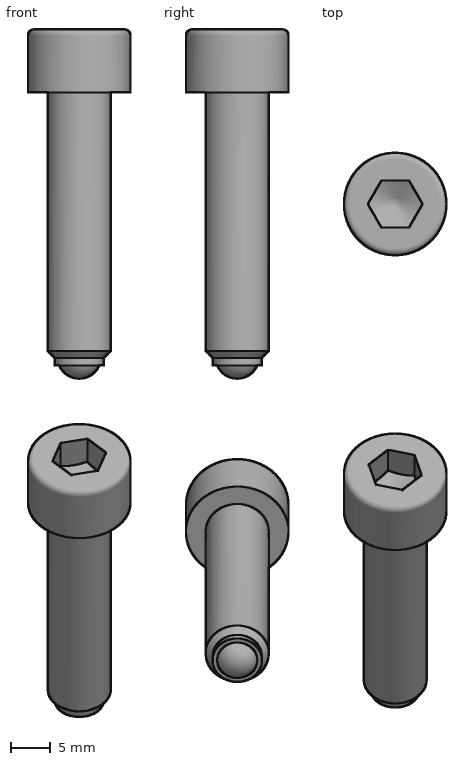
import cadquery as cq
import math


head_diameter = 13.0
head_height = 8.0
head_edge_radius = 0.8

socket_sides = 6
socket_across_flats = 6.0
socket_across_corners = socket_across_flats / math.cos(math.pi / socket_sides)
socket_wall_depth = 4.0
socket_cone_angle = 120.0

shank_diameter = 8.0
collar_diameter = 6.25
collar_height = 0.95
chamfer_height = (shank_diameter - collar_diameter) / 2
length_to_collar_end = 34.5

ball_diameter = 5.5
ball_protrusion = 1.7
ball_center_z = -length_to_collar_end - ball_protrusion + ball_diameter / 2


def make_ball():
    return cq.Workplane("XY").sphere(ball_diameter / 2).translate((0, 0, ball_center_z))


def make_head():
    head = cq.Workplane("XY").circle(head_diameter / 2).extrude(head_height)
    return head.faces(">Z").edges().fillet(head_edge_radius)


def make_shank():
    """Cylinder with a 45 degree chamfer leading to the collar."""
    collar_top = -length_to_collar_end + collar_height
    chamfer_top = collar_top + chamfer_height
    return (
        cq.Workplane("XZ")
        .lineTo(shank_diameter / 2, 0)
        .lineTo(shank_diameter / 2, chamfer_top)
        .lineTo(collar_diameter / 2, collar_top)
        .lineTo(collar_diameter / 2, -length_to_collar_end)
        .lineTo(0, -length_to_collar_end)
        .close()
        .revolve(360, (0, 0, 0), (0, 1, 0))
    )


def make_socket():
    """Hexagonal prism whose lower end is trimmed to a drill-point cone."""
    corner_radius = socket_across_corners / 2
    cone_depth = corner_radius / math.tan(math.radians(socket_cone_angle / 2))
    cone_top = head_height - socket_wall_depth
    cone_tip = cone_top - cone_depth
    prism = (
        cq.Workplane("XY", origin=(0, 0, cone_tip))
        .polygon(socket_sides, socket_across_corners)
        .extrude(head_height - cone_tip)
    )
    pointed_bore = (
        cq.Workplane("XZ")
        .moveTo(0, cone_tip)
        .lineTo(corner_radius, cone_top)
        .lineTo(corner_radius, head_height)
        .lineTo(0, head_height)
        .close()
        .revolve(360, (0, 0, 0), (0, 1, 0))
    )
    return prism.intersect(pointed_bore)


ball = make_ball()

screw = make_head().union(make_shank()).cut(make_socket()).cut(ball)

result = cq.Compound.makeCompound([screw.val(), ball.val()])